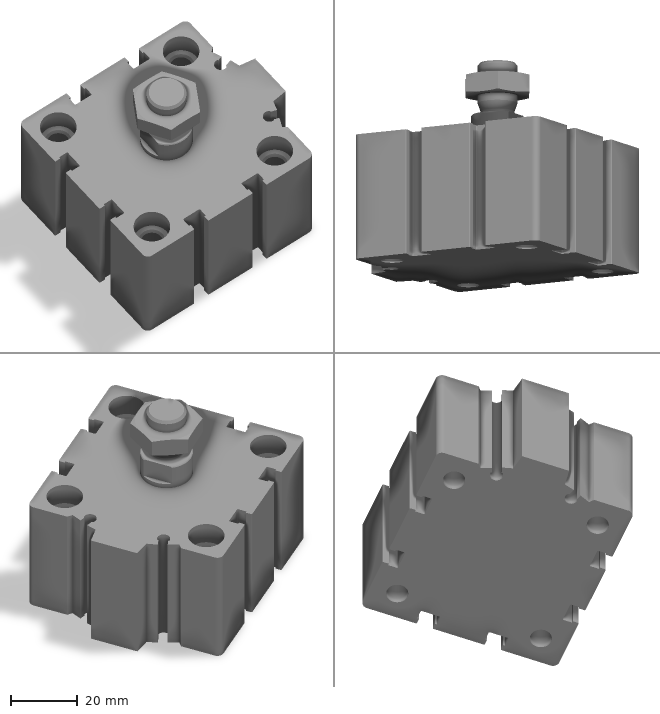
import cadquery as cq
import math

BODY_WIDTH = 63.5
BODY_HEIGHT = 38.0
CORNER_RADIUS = 2.0
HALF_WIDTH = BODY_WIDTH / 2

BODY_DEPTH = 71.0
RIB_TOP = BODY_DEPTH - HALF_WIDTH
RIB_HALF_TOP = 7.6
RIB_HALF_BASE = 8.4
RIB_BASE_Y = 33.95
RIB_LEDGE_X = 11.85
RIB_LEDGE_Y = 32.95
NOTCH_START_X = 18.7
NOTCH_BOTTOM_X = 17.55
NOTCH_BOTTOM_Y = 30.4
NOTCH_LIP_X = 14.5
NOTCH_LIP_Y = 31.7
GROOVE_X = 12.1
GROOVE_Y = 29.7
GROOVE_DIAMETER = 4.0
GROOVE_MOUTH = 3.0
GROOVE_SHOULDER = 0.85
GROOVE_LENGTH = 5.7
GROOVE_TILT = 18.0

SLOT_OFFSET = 11.0
SLOT_MOUTH = 5.2
SLOT_WIDTH = 6.3
SLOT_LIP = 2.0
SLOT_DEPTH = 5.05
SLOT_FILLET = 0.3

HOLE_OFFSET = 23.2
HOLE_DIAMETER = 6.7
COUNTERBORE_DIAMETER = 11.0
COUNTERBORE_DEPTH = 7.0
COUNTERSINK_DIAMETER = 8.0

ROD_DIAMETER = 16.0
ROD_HEIGHT = 24.0
SHOULDER_HEIGHT = 8.0
SHOULDER_CHAMFER = 0.3
FLATS_WIDTH = 13.0
FLATS_START = 1.6
NECK_DIAMETER = 10.2
NECK_FILLET = 0.65
NECK_END = 9.1
TAPER_ANGLE = 19
THREAD_DIAMETER = 12.0
TIP_DIAMETER = 10.65
TIP_CHAMFER_HEIGHT = 0.85

NUT_ACROSS_FLATS = 19.0
NUT_THICKNESS = 5.95
NUT_BOTTOM = 14.0
NUT_CHAMFER_DROP = 0.35


def prism(points):
    return cq.Workplane("XY").polyline(points).close().extrude(BODY_HEIGHT)


def rib():
    right_side = [
        (RIB_HALF_TOP, RIB_TOP),
        (RIB_HALF_BASE, RIB_BASE_Y),
        (RIB_LEDGE_X, RIB_LEDGE_Y),
        (NOTCH_LIP_X, NOTCH_LIP_Y),
        (NOTCH_BOTTOM_X, NOTCH_BOTTOM_Y),
    ]
    left_side = [(-x, y) for x, y in reversed(right_side)]
    return prism(right_side + left_side)


def edge_notch(side):
    """V notch between the +Y face and the rib; side is +1 or -1 along X."""
    return prism([
        (side * NOTCH_START_X, HALF_WIDTH),
        (side * NOTCH_BOTTOM_X, NOTCH_BOTTOM_Y),
        (side * NOTCH_LIP_X, NOTCH_LIP_Y),
        (side * NOTCH_LIP_X, HALF_WIDTH),
    ])


def sensor_groove(side):
    """Round groove with a narrower tilted mouth; side is +1 or -1 along X."""
    radius = GROOVE_DIAMETER / 2
    half_mouth = GROOVE_MOUTH / 2
    half_shoulder = math.sqrt(radius**2 - GROOVE_SHOULDER**2)
    keyhole = (
        cq.Workplane("XY")
        .moveTo(-half_mouth, GROOVE_LENGTH)
        .lineTo(-half_mouth, GROOVE_SHOULDER)
        .lineTo(-half_shoulder, GROOVE_SHOULDER)
        .threePointArc((0, -radius), (half_shoulder, GROOVE_SHOULDER))
        .lineTo(half_mouth, GROOVE_SHOULDER)
        .lineTo(half_mouth, GROOVE_LENGTH)
        .close()
        .extrude(BODY_HEIGHT)
    )
    tilted = keyhole.rotate((0, 0, 0), (0, 0, 1), -side * GROOVE_TILT)
    return tilted.translate((side * GROOVE_X, GROOVE_Y, 0))


def t_slot(offset, angle):
    """T-slot in the -Y face at X = offset, turned by angle about the rod axis."""
    half_mouth = SLOT_MOUTH / 2
    half_slot = SLOT_WIDTH / 2
    half_flared = half_mouth + SLOT_FILLET
    mouth_y = SLOT_FILLET - HALF_WIDTH
    lip_y = SLOT_LIP - HALF_WIDTH
    floor_y = SLOT_DEPTH - HALF_WIDTH
    half_floor = half_slot - SLOT_FILLET
    wall_end = floor_y - SLOT_FILLET
    inset = SLOT_FILLET * (1 - math.sqrt(0.5))
    slot = (
        cq.Workplane("XY")
        .moveTo(-half_flared, -HALF_WIDTH)
        .lineTo(half_flared, -HALF_WIDTH)
        .threePointArc((half_mouth + inset, inset - HALF_WIDTH), (half_mouth, mouth_y))
        .lineTo(half_mouth, lip_y)
        .lineTo(half_slot, lip_y)
        .lineTo(half_slot, wall_end)
        .threePointArc((half_slot - inset, floor_y - inset), (half_floor, floor_y))
        .lineTo(-half_floor, floor_y)
        .threePointArc((inset - half_slot, floor_y - inset), (-half_slot, wall_end))
        .lineTo(-half_slot, lip_y)
        .lineTo(-half_mouth, lip_y)
        .lineTo(-half_mouth, mouth_y)
        .threePointArc((-half_mouth - inset, inset - HALF_WIDTH), (-half_flared, -HALF_WIDTH))
        .close()
        .extrude(BODY_HEIGHT)
    )
    return slot.translate((offset, 0, 0)).rotate((0, 0, 0), (0, 0, 1), angle)


def mounting_hole(x, y):
    """Through hole with a counterbore at the top and a countersink in its floor."""
    hole_radius = HOLE_DIAMETER / 2
    sink_radius = COUNTERSINK_DIAMETER / 2
    floor_z = BODY_HEIGHT - COUNTERBORE_DEPTH
    profile = [
        (0, 0),
        (hole_radius, 0),
        (hole_radius, floor_z - (sink_radius - hole_radius)),
        (sink_radius, floor_z),
        (COUNTERBORE_DIAMETER / 2, floor_z),
        (COUNTERBORE_DIAMETER / 2, BODY_HEIGHT),
        (0, BODY_HEIGHT),
    ]
    hole = cq.Workplane("XZ").polyline(profile).close().revolve(360, (0, 0), (0, 1))
    return hole.translate((x, y, 0))


def make_housing():
    body = cq.Workplane("XY").rect(BODY_WIDTH, BODY_WIDTH).extrude(BODY_HEIGHT)
    body = body.edges("|Z").fillet(CORNER_RADIUS)
    body = body.union(rib())
    for side in (-1, 1):
        body = body.cut(edge_notch(side))
        body = body.cut(sensor_groove(side))
        for angle in (-90, 0, 90):
            body = body.cut(t_slot(side * SLOT_OFFSET, angle))
        for y in (-HOLE_OFFSET, HOLE_OFFSET):
            body = body.cut(mounting_hole(side * HOLE_OFFSET, y))
    return body


def make_rod():
    """Piston rod standing on the housing, with wrench flats and a threaded end."""
    rod_radius = ROD_DIAMETER / 2
    neck_radius = NECK_DIAMETER / 2
    thread_radius = THREAD_DIAMETER / 2
    taper = math.radians(TAPER_ANGLE)
    taper_radius = neck_radius + NECK_FILLET * (1 - math.cos(taper))
    taper_start = NECK_END + NECK_FILLET * math.sin(taper)
    taper_end = taper_start + (thread_radius - taper_radius) / math.tan(taper)
    diagonal = NECK_FILLET * (1 - math.sqrt(0.5))
    profile = (
        cq.Workplane("XZ")
        .lineTo(rod_radius, 0)
        .lineTo(rod_radius, SHOULDER_HEIGHT - SHOULDER_CHAMFER)
        .lineTo(rod_radius - SHOULDER_CHAMFER, SHOULDER_HEIGHT)
        .lineTo(neck_radius + NECK_FILLET, SHOULDER_HEIGHT)
        .threePointArc(
            (neck_radius + diagonal, SHOULDER_HEIGHT + diagonal),
            (neck_radius, SHOULDER_HEIGHT + NECK_FILLET),
        )
        .lineTo(neck_radius, NECK_END)
        .tangentArcPoint((taper_radius, taper_start), relative=False)
        .lineTo(thread_radius, taper_end)
        .lineTo(thread_radius, ROD_HEIGHT - TIP_CHAMFER_HEIGHT)
        .lineTo(TIP_DIAMETER / 2, ROD_HEIGHT)
        .lineTo(0, ROD_HEIGHT)
        .close()
    )
    rod = profile.revolve(360, (0, 0), (0, 1))
    flats_height = SHOULDER_HEIGHT - FLATS_START
    for side in (-1, 1):
        flat = cq.Workplane("XY").rect(ROD_DIAMETER, ROD_DIAMETER).extrude(flats_height)
        flat = flat.translate((0, side * (FLATS_WIDTH + ROD_DIAMETER) / 2, FLATS_START))
        rod = rod.cut(flat)
    return rod.translate((0, 0, BODY_HEIGHT))


def make_nut():
    """Hexagon nut with its corners on the Y axis, corner-chamfered on both faces."""
    flat_radius = NUT_ACROSS_FLATS / 2
    corner_radius = flat_radius / math.cos(math.radians(30))
    corner_turn = 90
    hexagon = cq.Workplane("XY").polygon(6, 2 * corner_radius).extrude(NUT_THICKNESS)
    hexagon = hexagon.rotate((0, 0, 0), (0, 0, 1), corner_turn)
    chamfer_profile = [
        (0, 0),
        (flat_radius, 0),
        (corner_radius, NUT_CHAMFER_DROP),
        (corner_radius, NUT_THICKNESS - NUT_CHAMFER_DROP),
        (flat_radius, NUT_THICKNESS),
        (0, NUT_THICKNESS),
    ]
    envelope = cq.Workplane("XZ").polyline(chamfer_profile).close().revolve(360, (0, 0), (0, 1))
    bore = cq.Workplane("XY").circle(THREAD_DIAMETER / 2).extrude(NUT_THICKNESS)
    nut = hexagon.intersect(envelope).cut(bore)
    return nut.translate((0, 0, BODY_HEIGHT + NUT_BOTTOM))


housing = make_housing()
rod = make_rod()
nut = make_nut()

result = cq.Compound.makeCompound([housing.val(), rod.val(), nut.val()])